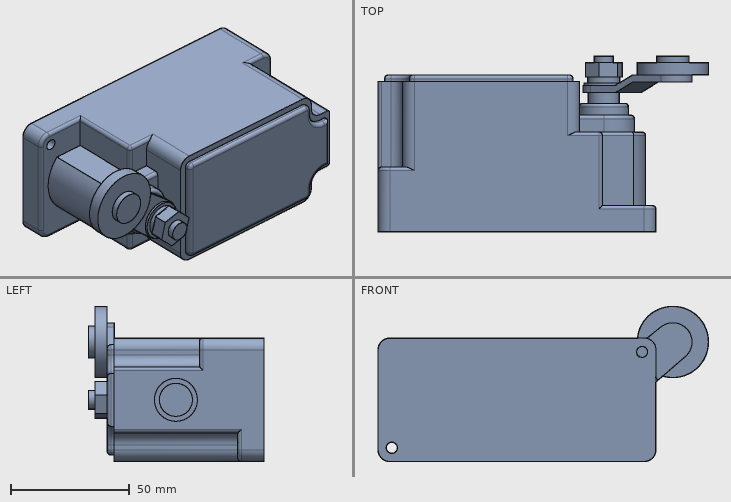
import cadquery as cq
import math

overall_length = 139.1
overall_height = 65.4

flange_length = 117.0
housing_height = 52.0
mid_height = housing_height / 2
corner_radius = 5.0
edge_radius = 1.5
rim_radius = 1.5
flange_back = 11.1
lower_back = 27.3
shoulder_back = 42.0
body_back = 63.3
cap_back = 66.1
cap_inset = 2.8
cap_rim_radius = 1.7

scallop_width = 10.5
scallop_depth = 12.1
end_radius = 17.7
shelf_offset = 12.4
body_length = 84.9
notch_wall = 94.5
scallop_shelf = housing_height - scallop_depth

mounting_radius = 2.3
mounting_inset = 5.8
entry_y = 37.1
entry_radius = 9.0
entry_depth = 9.7
entry_inner_radius = 7.0
entry_inner_depth = 12.8

shaft_x = 95.0
boss_radius = 13.0
boss_back = 49.1
collar_radius = 10.5
collar_back = 54.1
shaft_radius = 6.5
washer_radius = 8.3
washer_back = 62.7
spring_radius = 6.8
nut_front = 65.1
nut_back = 71.2
nut_corner_radius = 8.0
nut_turn = 44.7
stud_radius = 4.0
stud_back = 74.0

roller_radius = 15.0
roller_x = overall_length - roller_radius
roller_z = overall_height - roller_radius
lever_front = 58.5
lever_thickness = 3.0
lever_offset = 4.5
roller_front = lever_front + lever_offset + lever_thickness
roller_pin_radius = 6.8
lever_hub_radius = 8.8
lever_tip_radius = 8.0
bend_start = 13.4
bend_end = 22.8


def rounded_outline(corners):
    """Closed XZ outline from (x, z, radius) corners; radius 0 leaves the corner sharp."""
    stretches = []
    for index, (x, z, radius) in enumerate(corners):
        corner = cq.Vector(x, z)
        before = cq.Vector(*corners[index - 1][:2])
        after = cq.Vector(*corners[(index + 1) % len(corners)][:2])
        to_before = (before - corner).normalized()
        to_after = (after - corner).normalized()
        half_angle = to_before.getAngle(to_after) / 2
        setback = radius / math.tan(half_angle)
        bisector = (to_before + to_after).normalized()
        middle = corner + bisector * (radius / math.sin(half_angle) - radius)
        stretches.append((corner + to_before * setback, middle, corner + to_after * setback, radius))

    outline = cq.Workplane("XZ").moveTo(*stretches[0][2].toTuple()[:2])
    for start, middle, end, radius in stretches[1:] + stretches[:1]:
        outline = outline.lineTo(start.x, start.y)
        if radius > 0:
            outline = outline.threePointArc((middle.x, middle.y), (end.x, end.y))
    return outline.close()


def round_rim(layer, radius):
    return layer.faces(">Y").edges().fillet(radius)


def cylinder(x, z, radius, front, back):
    return cq.Workplane("XZ", origin=(x, front, z)).circle(radius).extrude(front - back)


def make_round_end(back):
    """Space left of the notch wall plus the disc that rounds the end around the shaft axis."""
    left = cq.Workplane("XY").box(notch_wall, back, housing_height, centered=False)
    return left.union(cylinder(shaft_x, mid_height, end_radius, 0, back))


def make_housing():
    lower_left = [
        (0, scallop_depth, edge_radius),
        (scallop_width, scallop_depth, corner_radius),
        (scallop_width, 0, corner_radius),
    ]
    upper_left = [
        (scallop_width, housing_height, corner_radius),
        (scallop_width, scallop_shelf, corner_radius),
        (0, scallop_shelf, edge_radius),
    ]
    plain_upper_left = [(0, housing_height, corner_radius)]
    notched_right = [
        (notch_wall, 0, edge_radius),
        (notch_wall, mid_height - shelf_offset, 0),
        (flange_length, mid_height - shelf_offset, 0),
        (flange_length, mid_height + shelf_offset, 0),
        (notch_wall, mid_height + shelf_offset, 0),
        (notch_wall, housing_height, edge_radius),
    ]
    flange_corners = [
        (0, 0, corner_radius),
        (flange_length, 0, corner_radius),
        (flange_length, housing_height, corner_radius),
        (0, housing_height, corner_radius),
    ]
    body_right = [
        (body_length, 0, corner_radius),
        (body_length, housing_height, corner_radius),
    ]
    body_corners = lower_left + body_right + upper_left

    flange = round_rim(rounded_outline(flange_corners).extrude(-flange_back), rim_radius)
    lower = rounded_outline(lower_left + notched_right + plain_upper_left).extrude(-lower_back)
    lower = round_rim(lower.intersect(make_round_end(lower_back)), rim_radius)
    shoulder = rounded_outline(lower_left + notched_right + upper_left).extrude(-shoulder_back)
    shoulder = round_rim(shoulder.intersect(make_round_end(shoulder_back)), rim_radius)
    body = rounded_outline(body_corners).extrude(-body_back)
    cap = rounded_outline(body_corners).offset2D(-cap_inset).extrude(-cap_back)
    cap = round_rim(cap, cap_rim_radius)
    return flange.union(lower).union(shoulder).union(body).union(cap)


def make_mounting_holes():
    first = cylinder(mounting_inset, mounting_inset, mounting_radius, 0, flange_back)
    second = cylinder(flange_length - mounting_inset, housing_height - mounting_inset,
                      mounting_radius, 0, flange_back)
    return first.union(second)


def make_cable_entry():
    plane = cq.Workplane("YZ", origin=(0, entry_y, mid_height))
    bore = plane.circle(entry_radius).extrude(entry_depth)
    return bore.union(plane.circle(entry_inner_radius).extrude(entry_inner_depth))


def make_shaft_stack():
    boss_left = body_length - corner_radius
    boss = (
        cq.Workplane("XZ", origin=(0, shoulder_back, mid_height))
        .moveTo(boss_left, -boss_radius)
        .lineTo(shaft_x, -boss_radius)
        .threePointArc((shaft_x + boss_radius, 0), (shaft_x, boss_radius))
        .lineTo(boss_left, boss_radius)
        .close()
        .extrude(shoulder_back - boss_back)
    )
    boss = round_rim(boss, rim_radius)
    collar = round_rim(cylinder(shaft_x, mid_height, collar_radius, boss_back, collar_back), rim_radius)
    stack = boss.union(collar)
    stack = stack.union(cylinder(shaft_x, mid_height, shaft_radius, collar_back, lever_front))
    lever_back = lever_front + lever_thickness
    stack = stack.union(cylinder(shaft_x, mid_height, washer_radius, lever_back, washer_back))
    stack = stack.union(cylinder(shaft_x, mid_height, spring_radius, washer_back, nut_front))
    nut = cq.Workplane("XZ", origin=(shaft_x, nut_front, mid_height))
    nut = nut.transformed(rotate=(0, 0, nut_turn)).polygon(6, 2 * nut_corner_radius)
    stack = stack.union(nut.extrude(nut_front - nut_back))
    return stack.union(cylinder(shaft_x, mid_height, stud_radius, nut_back, stud_back))


def make_lever():
    reach = math.hypot(roller_x - shaft_x, roller_z - mid_height)
    slope = math.degrees(math.atan2(roller_z - mid_height, roller_x - shaft_x))
    tangent_cos = (lever_hub_radius - lever_tip_radius) / reach
    tangent_sin = math.sqrt(1 - tangent_cos ** 2)
    hub_x = lever_hub_radius * tangent_cos
    hub_z = lever_hub_radius * tangent_sin
    tip_x = reach + lever_tip_radius * tangent_cos
    tip_z = lever_tip_radius * tangent_sin
    outline = (
        cq.Workplane("XZ")
        .moveTo(hub_x, hub_z)
        .lineTo(tip_x, tip_z)
        .threePointArc((reach + lever_tip_radius, 0), (tip_x, -tip_z))
        .lineTo(hub_x, -hub_z)
        .threePointArc((-lever_hub_radius, 0), (hub_x, hub_z))
        .close()
        .extrude(-stud_back)
    )
    tip_front = lever_front + lever_offset
    far_end = reach + 2 * lever_tip_radius
    near_end = -2 * lever_hub_radius
    bent_strip = (
        cq.Workplane("XY")
        .moveTo(near_end, lever_front)
        .lineTo(bend_start, lever_front)
        .lineTo(bend_end, tip_front)
        .lineTo(far_end, tip_front)
        .lineTo(far_end, tip_front + lever_thickness)
        .lineTo(bend_end, tip_front + lever_thickness)
        .lineTo(bend_start, lever_front + lever_thickness)
        .lineTo(near_end, lever_front + lever_thickness)
        .close()
        .extrude(lever_hub_radius * 2, both=True)
    )
    lever = outline.intersect(bent_strip).rotate((0, 0, 0), (0, 1, 0), -slope)
    return lever.translate((shaft_x, 0, mid_height))


def make_roller():
    roller = cylinder(roller_x, roller_z, roller_radius, roller_front, nut_back)
    return roller.union(cylinder(roller_x, roller_z, roller_pin_radius, nut_back, stud_back))


housing = make_housing().union(make_shaft_stack()).cut(make_mounting_holes()).cut(make_cable_entry())
result = housing.union(make_lever()).union(make_roller())